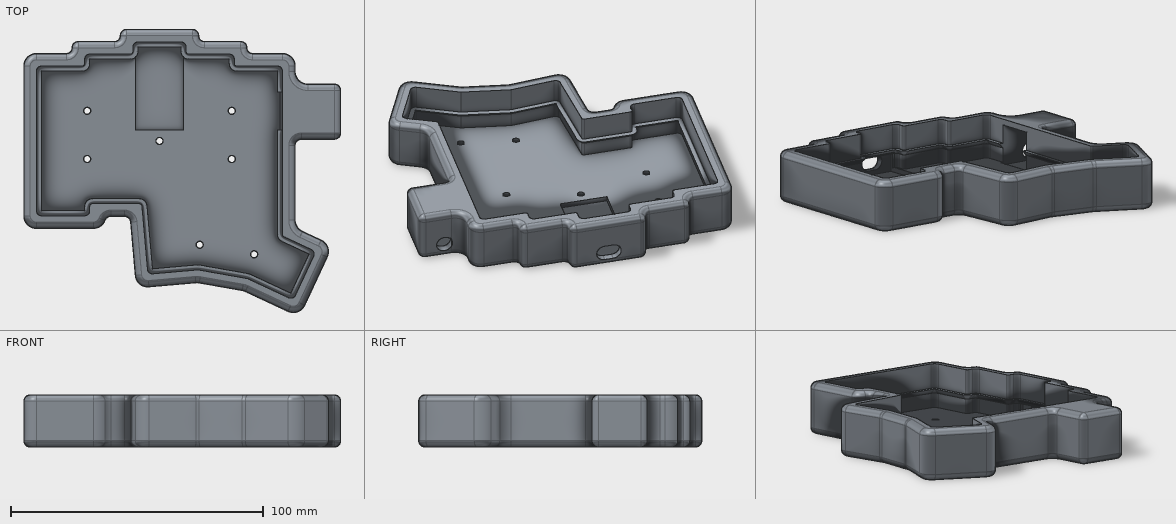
import math
import cadquery as cq

PITCH = 19.05
STAGGER = PITCH / 4
COLUMN_TOPS = (0, STAGGER, 2 * STAGGER, STAGGER, 0)
ROWS = 3
RIGHT = len(COLUMN_TOPS) * PITCH
GRID_TOP = max(COLUMN_TOPS)

OUTER_OFFSET = 6.0
LEDGE_OFFSET = 1.0
LIP_OFFSET = -1.0
HEIGHT = 20.6
FLOOR_Z = 3.0
LEDGE_Z = 10.8
EDGE_RADIUS = 2.5
CORNER_RADIUS = 5.0
NOTCH_RADIUS = 2.5
NOTCH_ARC_X = 21.45
STEP_HOLLOW_RADIUS = 2.2
LEDGE_CORNER_RADIUS = 2.0
LEDGE_HOLLOW_RADIUS = 1.0
LIP_REACH = LEDGE_OFFSET - LIP_OFFSET
LIP_CORNER_RADIUS = 0.05
LIP_HOLLOW_RADIUS = LEDGE_HOLLOW_RADIUS + LIP_REACH

FAN_ANGLES = (5, -10, -25)
FAN_START = (43.95, -80.19)
FAN_WIDTHS = (PITCH, PITCH + 1.1, PITCH)

BLOCK_REACH = 18.0
BLOCK_TOP = -6.1
BLOCK_BOTTOM = -27.9
CHAMBER_TOP = -9.2
CHAMBER_BOTTOM = -24.2
CHAMBER_END_WALL = 3.0
CHAMBER_FLOOR_Z = 2.0
CHAMBER_ROOF_Z = 18.2

RECESS_WIDTH = PITCH
RECESS_BOTTOM = -24.3
RECESS_TOP = 12.8
RECESS_FLOOR_Z = 1.0

SCREW_DIAMETER = 2.7
SCREW_COLUMNS = (PITCH, RIGHT - PITCH)
SCREW_ROWS = (1, 2)
MIDDLE_SCREW = (RIGHT / 2, -1.5 * PITCH)
THUMB_SCREWS = [(63.5, -69.6), (85.05, -73.4)]

CABLE_DIAMETER = 6.5
CABLE_HOLE_X = 109.15
CABLE_Z = 6.0
PLUG_SLOT_WIDTH = 10.0

TANGENT_GAP = 1e-6


def along(point, angle, distance):
    """Point reached from another by going a distance at an angle in degrees."""
    a = math.radians(angle)
    return (point[0] + distance * math.cos(a), point[1] + distance * math.sin(a))


def crossing(p, u, q, v):
    """Where the line through p along u meets the line through q along v."""
    k = ((q[0] - p[0]) * v[1] - (q[1] - p[1]) * v[0]) / (u[0] * v[1] - u[1] * v[0])
    return (p[0] + k * u[0], p[1] + k * u[1])


def direction(p, q):
    """Unit vector from p to q."""
    length = math.dist(p, q)
    return ((q[0] - p[0]) / length, (q[1] - p[1]) / length)


def grow(points, distance):
    """Clockwise polygon moved outward by a distance, with sharp corners."""
    grown = []
    for i, corner in enumerate(points):
        u = direction(points[i - 1], corner)
        v = direction(corner, points[(i + 1) % len(points)])
        p = (corner[0] - distance * u[1], corner[1] + distance * u[0])
        q = (corner[0] - distance * v[1], corner[1] + distance * v[0])
        grown.append(crossing(p, u, q, v))
    return grown


def is_hollow(points, i):
    """True where a clockwise polygon turns inward."""
    u = direction(points[i - 1], points[i])
    v = direction(points[i], points[(i + 1) % len(points)])
    return u[0] * v[1] - u[1] * v[0] > 0


def rounded_outline(points, radii, z):
    """Closed path at height z through a polygon whose corners carry the given radii (0 is sharp)."""
    path = cq.Workplane("XY", origin=(0, 0, z))
    last_end = None
    for i, (corner, radius) in enumerate(zip(points, radii)):
        u = direction(points[i - 1], corner)
        v = direction(corner, points[(i + 1) % len(points)])
        turn = math.acos(u[0] * v[0] + u[1] * v[1])
        cut = radius * math.tan(turn / 2)
        start = (corner[0] - cut * u[0], corner[1] - cut * u[1])
        end = (corner[0] + cut * v[0], corner[1] + cut * v[1])
        if last_end is None:
            path = path.moveTo(*start)
        elif math.dist(start, last_end) > TANGENT_GAP:
            path = path.lineTo(*start)
        if radius > 0:
            inward = direction(u, v)
            reach = radius / math.cos(turn / 2) - radius
            middle = (corner[0] + reach * inward[0], corner[1] + reach * inward[1])
            path = path.threePointArc(middle, end)
        last_end = end
    return path.close()


def grid_outline():
    """Clockwise outline of the keys."""
    points = []
    for column, top in enumerate(COLUMN_TOPS):
        points.append((column * PITCH, top))
        points.append(((column + 1) * PITCH, top))
    fan = [FAN_START]
    for angle, width in zip(FAN_ANGLES, FAN_WIDTHS):
        fan.append(along(fan[-1], angle, width))
    last = FAN_ANGLES[-1]
    tip = along(fan[-1], last + 90, PITCH)
    down = (0, -1)
    wall_foot = crossing((RIGHT, 0), down, tip, along((0, 0), last, 1))
    notch_y = COLUMN_TOPS[1] - ROWS * PITCH
    notch_end = crossing((0, notch_y), (1, 0), FAN_START, along((0, 0), FAN_ANGLES[0] + 90, 1))
    points += [wall_foot, tip] + fan[::-1]
    points += [notch_end, (PITCH, notch_y), (PITCH, -ROWS * PITCH), (0, -ROWS * PITCH)]
    return points


GRID = grid_outline()
FOOT = 2 * len(COLUMN_TOPS)
FAN_END = FOOT + 2 + len(FAN_ANGLES)
NOTCH_END = FAN_END + 1
NOTCH_HOLLOW = NOTCH_END + 1
NOTCH_CORNER = NOTCH_END + 2


def outer_body():
    """Solid block with every outer edge rounded."""
    points = grow(GRID, OUTER_OFFSET)
    radii = []
    for i in range(len(points)):
        if i < FOOT:
            radii.append(STEP_HOLLOW_RADIUS if is_hollow(GRID, i) else 0)
        else:
            radii.append(CORNER_RADIUS)
    radii[0] = CORNER_RADIUS
    radii[FOOT - 1] = CORNER_RADIUS
    radii[NOTCH_END] = NOTCH_RADIUS

    reach = CORNER_RADIUS + NOTCH_RADIUS
    lean = math.acos(1 - STAGGER / reach)
    corner_x = NOTCH_ARC_X + CORNER_RADIUS * math.tan(lean / 2)
    points[NOTCH_CORNER] = (corner_x, points[NOTCH_CORNER][1])
    points[NOTCH_HOLLOW] = (corner_x + STAGGER / math.tan(lean), points[NOTCH_HOLLOW][1])
    radii[NOTCH_HOLLOW] = NOTCH_RADIUS

    wall_x = RIGHT + OUTER_OFFSET
    end_x = wall_x + BLOCK_REACH
    block = [(wall_x, BLOCK_TOP), (end_x, BLOCK_TOP), (end_x, BLOCK_BOTTOM), (wall_x, BLOCK_BOTTOM)]
    points[FOOT:FOOT] = block
    radii[FOOT:FOOT] = [CORNER_RADIUS, 0, 0, NOTCH_RADIUS]

    sharp = [p for p, r in zip(points, radii) if r == 0]
    body = rounded_outline(points, radii, 0).extrude(HEIGHT)
    edges = body.faces("|Z").edges()
    for x, y in sharp:
        edges = edges.add(body.edges(cq.selectors.NearestToPointSelector((x, y, HEIGHT / 2))))
    return edges.fillet(EDGE_RADIUS)


def cavity():
    """Room for the circuit board, with a ledge on a lip whose underside slopes at 45 degrees."""
    hollows = [is_hollow(GRID, i) for i in range(len(GRID))]
    wall = grow(GRID, LEDGE_OFFSET)
    wall_radii = [LEDGE_HOLLOW_RADIUS if hollow else LEDGE_CORNER_RADIUS for hollow in hollows]
    lip = grow(GRID, LIP_OFFSET)
    lip_radii = [LIP_HOLLOW_RADIUS if hollow else LIP_CORNER_RADIUS for hollow in hollows]

    lip_root_z = LEDGE_Z - LIP_REACH
    lower = rounded_outline(wall, wall_radii, FLOOR_Z).extrude(lip_root_z - FLOOR_Z)
    upper = rounded_outline(wall, wall_radii, LEDGE_Z).extrude(HEIGHT - LEDGE_Z)
    root_wire = rounded_outline(wall, wall_radii, lip_root_z).val()
    lip_wire = rounded_outline(lip, lip_radii, LEDGE_Z).val()
    slope = cq.Solid.makeLoft([root_wire, lip_wire], True)
    return lower.union(cq.Workplane(slope)).union(upper)


def box(x0, x1, y0, y1, z0, z1):
    return cq.Workplane("XY").box(x1 - x0, y1 - y0, z1 - z0, centered=False).translate((x0, y0, z0))


def chamber():
    """Room inside the cable block, open to the cavity through the lip."""
    end_x = RIGHT + OUTER_OFFSET + BLOCK_REACH - CHAMBER_END_WALL
    room = box(RIGHT, end_x, CHAMBER_BOTTOM, CHAMBER_TOP, CHAMBER_FLOOR_Z, CHAMBER_ROOF_Z)
    mouth = box(RIGHT + LIP_OFFSET, RIGHT, CHAMBER_BOTTOM, CHAMBER_TOP, FLOOR_Z, CHAMBER_ROOF_Z)
    return room.union(mouth)


def recess():
    """Pocket in the floor that also runs into the wall under the lip."""
    x0 = (RIGHT - RECESS_WIDTH) / 2
    roof_z = CABLE_Z + CABLE_DIAMETER / 2
    x1 = x0 + RECESS_WIDTH
    floor_pocket = box(x0, x1, RECESS_BOTTOM, RECESS_TOP, RECESS_FLOOR_Z, FLOOR_Z)
    wall_pocket = box(x0, x1, GRID_TOP + LEDGE_OFFSET, RECESS_TOP, RECESS_FLOOR_Z, roof_z)
    return floor_pocket.union(wall_pocket)


def screw_holes():
    spots = [MIDDLE_SCREW] + THUMB_SCREWS
    for x in SCREW_COLUMNS:
        for row in SCREW_ROWS:
            spots.append((x, STAGGER / 2 - row * PITCH))
    return cq.Workplane("XY").pushPoints(spots).circle(SCREW_DIAMETER / 2).extrude(FLOOR_Z)


def cable_openings():
    """Round hole through the side of the block and a slot through the wall behind the recess."""
    block_wall = BLOCK_TOP - CHAMBER_TOP
    hole = cq.Workplane("XZ", origin=(CABLE_HOLE_X, BLOCK_TOP, CABLE_Z))
    hole = hole.circle(CABLE_DIAMETER / 2).extrude(block_wall)
    outer_y = GRID_TOP + OUTER_OFFSET
    slot = cq.Workplane("XZ", origin=(RIGHT / 2, outer_y, CABLE_Z))
    slot = slot.slot2D(PLUG_SLOT_WIDTH, CABLE_DIAMETER).extrude(outer_y - RECESS_TOP)
    return hole.union(slot)


result = outer_body().cut(cavity()).cut(chamber()).cut(recess()).cut(screw_holes()).cut(cable_openings())